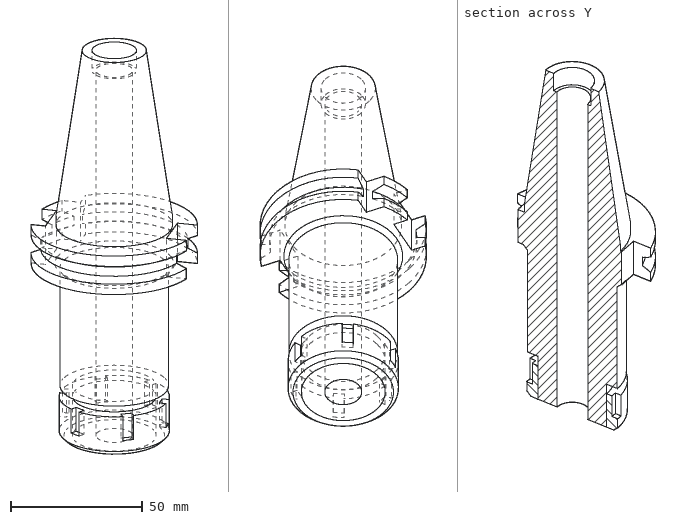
import cadquery as cq

total_height = 158.4
gauge_line_z = 90.0
flange_top_z = 86.6
flange_height = 15.8
flange_bottom_z = flange_top_z - flange_height
barrel_bottom_z = 20.5
nut_height = 16.2

gauge_radius = 44.5 / 2
taper_ratio = 7 / 24
taper_top_radius = gauge_radius - (total_height - gauge_line_z) * taper_ratio / 2
barrel_radius = 20.8
shoulder_height = 1.9
neck_radius = 16.0

flange_radius = 63.5 / 2
groove_radius = 28.0
groove_middle_z = (flange_top_z + flange_bottom_z) / 2
groove_floor_width = 3.8
groove_mouth_width = 7.3
drive_slot_width = 16.0
left_slot_floor_x = 25.0
right_slot_floor_x = 22.8
notch_wall_x = 18.4
notch_floor_y = 18.5

bore_radius = 14.1 / 2
counterbore_radius = 17.0 / 2
counterbore_depth = 8.2

nut_radius = 21.0
nut_chamfer = 1.9
wrench_slot_count = 6
wrench_slot_width = 4.3
wrench_slot_depth = 2.7
wrench_slot_length = 9.8


def revolve_profile(points):
    """Turn a closed (radius, z) outline around the Z axis."""
    return cq.Workplane("XZ").polyline(points).close().revolve(360, (0, 0, 0), (0, 1, 0))


def cylinder(radius, bottom_z, top_z):
    return cq.Workplane("XY").workplane(offset=bottom_z).circle(radius).extrude(top_z - bottom_z)


def flange_cutter(x_min, x_max, y_min, y_max):
    """Block through the full flange height, between the given X and Y limits."""
    return (
        cq.Workplane("XY")
        .workplane(offset=flange_bottom_z)
        .center((x_min + x_max) / 2, (y_min + y_max) / 2)
        .rect(x_max - x_min, y_max - y_min)
        .extrude(flange_height)
    )


def make_flange():
    half_floor = groove_floor_width / 2
    half_mouth = groove_mouth_width / 2
    flange = revolve_profile([
        (0, flange_bottom_z),
        (flange_radius, flange_bottom_z),
        (flange_radius, groove_middle_z - half_mouth),
        (groove_radius, groove_middle_z - half_floor),
        (groove_radius, groove_middle_z + half_floor),
        (flange_radius, groove_middle_z + half_mouth),
        (flange_radius, flange_top_z),
        (0, flange_top_z),
    ])
    half_slot = drive_slot_width / 2
    left_slot = flange_cutter(-flange_radius, -left_slot_floor_x, -half_slot, half_slot)
    right_slot = flange_cutter(right_slot_floor_x, flange_radius, -half_slot, half_slot)
    notch = flange_cutter(-flange_radius, -notch_wall_x, notch_floor_y, flange_radius)
    return flange.cut(left_slot).cut(right_slot).cut(notch)


def make_shank():
    core = revolve_profile([
        (0, 0),
        (neck_radius, 0),
        (neck_radius, barrel_bottom_z),
        (barrel_radius, barrel_bottom_z),
        (barrel_radius, flange_bottom_z - shoulder_height),
        (barrel_radius + shoulder_height, flange_bottom_z),
        (gauge_radius, flange_bottom_z),
        (gauge_radius, gauge_line_z),
        (taper_top_radius, total_height),
        (0, total_height),
    ])
    bore = cylinder(bore_radius, 0, total_height)
    counterbore = cylinder(counterbore_radius, total_height - counterbore_depth, total_height)
    return core.union(make_flange()).cut(bore).cut(counterbore)


def make_nut():
    nut = cylinder(nut_radius, 0, nut_height).faces("<Z").chamfer(nut_chamfer)
    slot = (
        cq.Workplane("XY")
        .workplane(offset=nut_height - wrench_slot_length)
        .center(nut_radius, 0)
        .rect(2 * wrench_slot_depth, wrench_slot_width)
        .extrude(wrench_slot_length)
    )
    for i in range(wrench_slot_count):
        nut = nut.cut(slot.rotate((0, 0, 0), (0, 0, 1), i * 360 / wrench_slot_count))
    return nut.cut(cylinder(neck_radius, 0, nut_height))


shank = make_shank()
nut = make_nut()

result = cq.Compound.makeCompound([shank.val(), nut.val()])